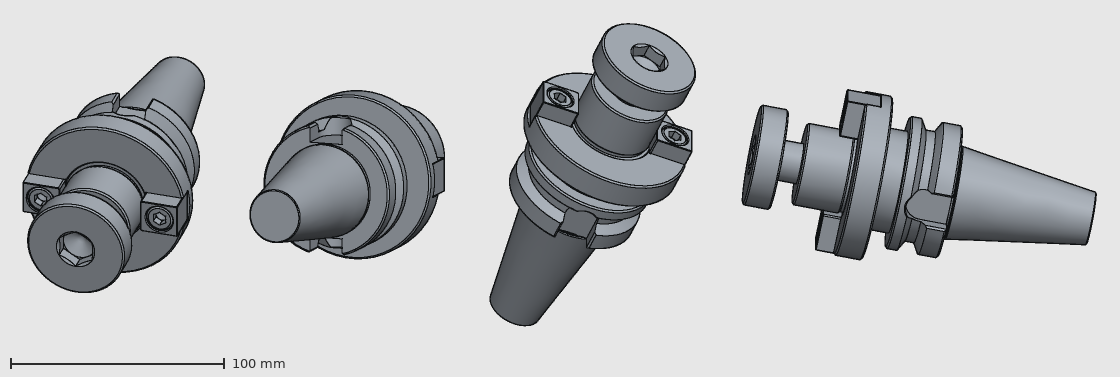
import cadquery as cq
import math


TOTAL_LENGTH = 162.0
HEAD_LENGTH = 12.8
SPIGOT_FRONT_Y = 22.8
DISC_FRONT_Y = 46.5
DISC_REAR_Y = 59.6
FLANGE_FRONT_Y = 69.6
FLANGE_REAR_Y = 94.4
TAPER_BASE_Y = 96.3

SPIGOT_RADIUS = 19.5
DISC_RADIUS = 39.0
BODY_RADIUS = 24.3
FLANGE_RADIUS = 63.0 / 2
TAPER_BASE_RADIUS = 22.2
TAPER_RATIO = 7 / 24
EDGE_CHAMFER = 0.8
TAPER_CHAMFER = 0.5

SPIGOT_RELIEF_WIDTH = 2.0
SPIGOT_RELIEF_DEPTH = 0.8
FACE_RELIEF_RADIUS = 20.7
FACE_RELIEF_DEPTH = 0.5
TAPER_RELIEF_DEPTH = 0.5

GRIP_FLOOR_RADIUS = 26.5
GRIP_FLOOR_FRONT_Y = 77.9
GRIP_FLOOR_REAR_Y = 82.3
GRIP_FLANK_ANGLE = 30.0
GRIP_EDGE_BREAK = 0.3

DRIVE_SLOT_WIDTH = 16.0
DRIVE_SLOT_FLOOR = 22.5
DRIVE_SLOT_END_Y = 73.5
DRIVE_SLOT_CHAMFER = 1.0
DRIVE_SLOT_END_CHAMFER = 0.6

KEY_WIDTH = 16.0
KEY_INNER_X = 19.8
KEY_OUTER_X = 37.9
KEY_FRONT_Y = 37.9
KEY_REAR_Y = 54.1
KEY_CHAMFER = 0.3
KEY_INNER_CHAMFER = 0.6
KEY_SIDES = (-1, 1)

CAP_CENTRE_X = 29.1
CAP_RADIUS = 6.5
CAP_HEIGHT = 8.0
CAP_CHAMFER = 1.0
CAP_SHANK_RADIUS = 4.0
CAP_SHANK_END_Y = 58.3
CAP_BORE_CHAMFER = 0.5
CAP_HEX_WIDTH = 6.0
CAP_HEX_DEPTH = 4.0
CAP_FRONT_Y = KEY_FRONT_Y + 0.3
CAP_SEAT_Y = CAP_FRONT_Y + CAP_HEIGHT

HEAD_RADIUS = 23.8
SHANK_RADIUS = 9.5
SHANK_END_Y = DISC_FRONT_Y
SHANK_RELIEF_WIDTH = 1.0
SHANK_RELIEF_DEPTH = 0.5
HEX_WIDTH = 16.0
HEX_DEPTH = 6.5
HEX_MOUTH_RADIUS = 9.4
HEX_MOUTH_DEPTH = 1.0

DRILL_POINT_ANGLE = 120.0


def revolve(profile):
    """Turn a closed (radius, y) outline about the Y axis."""
    return cq.Workplane("XY").polyline(profile).close().revolve(360, (0, 0, 0), (0, 1, 0))


def cylinder(radius, y_start, y_end, x=0.0):
    """Cylinder parallel to Y between two stations."""
    base = cq.Vector(x, y_start, 0)
    return cq.Workplane(cq.Solid.makeCylinder(radius, y_end - y_start, base, cq.Vector(0, 1, 0)))


def cone(start_radius, end_radius, y_start, y_end, x=0.0):
    """Cone parallel to Y whose radius changes between two stations."""
    base = cq.Vector(x, y_start, 0)
    height = y_end - y_start
    return cq.Workplane(cq.Solid.makeCone(start_radius, end_radius, height, base, cq.Vector(0, 1, 0)))


def box(x_range, y_range, z_range):
    """Box between the given limits."""
    sizes = [high - low for low, high in (x_range, y_range, z_range)]
    corner = (x_range[0], y_range[0], z_range[0])
    return cq.Workplane("XY").box(*sizes, centered=False).translate(corner)


def hex_socket(width, front_y, depth, x=0.0):
    """Hexagonal socket with corners toward +Z and -Z and a drill point at its end."""
    corner_diameter = width / math.cos(math.radians(30))
    end_y = front_y + depth
    prism = (
        cq.Workplane("XZ", origin=(x, front_y, 0))
        .transformed(rotate=(0, 0, 90))
        .polygon(6, corner_diameter)
        .extrude(-depth)
    )
    point_length = width / 2 / math.tan(math.radians(DRILL_POINT_ANGLE / 2))
    return prism.union(cone(width / 2, 0, end_y, end_y + point_length, x))


def arbor_blank():
    """Taper shank, flange, disc and spigot as one turned outline."""
    broken_radius = FLANGE_RADIUS - GRIP_EDGE_BREAK
    flank_length = (broken_radius - GRIP_FLOOR_RADIUS) * math.tan(math.radians(GRIP_FLANK_ANGLE))
    taper_end_radius = TAPER_BASE_RADIUS - (TOTAL_LENGTH - TAPER_BASE_Y) * TAPER_RATIO / 2
    spigot_relief_radius = SPIGOT_RADIUS - SPIGOT_RELIEF_DEPTH
    spigot_relief_y = DISC_FRONT_Y - SPIGOT_RELIEF_WIDTH
    taper_relief_radius = TAPER_BASE_RADIUS - TAPER_RELIEF_DEPTH
    return revolve([
        (0, SPIGOT_FRONT_Y),
        (SPIGOT_RADIUS - EDGE_CHAMFER, SPIGOT_FRONT_Y),
        (SPIGOT_RADIUS, SPIGOT_FRONT_Y + EDGE_CHAMFER),
        (SPIGOT_RADIUS, spigot_relief_y),
        (spigot_relief_radius, spigot_relief_y + SPIGOT_RELIEF_DEPTH),
        (spigot_relief_radius, DISC_FRONT_Y + FACE_RELIEF_DEPTH),
        (FACE_RELIEF_RADIUS - FACE_RELIEF_DEPTH, DISC_FRONT_Y + FACE_RELIEF_DEPTH),
        (FACE_RELIEF_RADIUS, DISC_FRONT_Y),
        (DISC_RADIUS - EDGE_CHAMFER, DISC_FRONT_Y),
        (DISC_RADIUS, DISC_FRONT_Y + EDGE_CHAMFER),
        (DISC_RADIUS, DISC_REAR_Y - EDGE_CHAMFER),
        (DISC_RADIUS - EDGE_CHAMFER, DISC_REAR_Y),
        (BODY_RADIUS, DISC_REAR_Y),
        (BODY_RADIUS, FLANGE_FRONT_Y),
        (FLANGE_RADIUS - EDGE_CHAMFER, FLANGE_FRONT_Y),
        (FLANGE_RADIUS, FLANGE_FRONT_Y + EDGE_CHAMFER),
        (FLANGE_RADIUS, GRIP_FLOOR_FRONT_Y - flank_length - GRIP_EDGE_BREAK),
        (broken_radius, GRIP_FLOOR_FRONT_Y - flank_length),
        (GRIP_FLOOR_RADIUS, GRIP_FLOOR_FRONT_Y),
        (GRIP_FLOOR_RADIUS, GRIP_FLOOR_REAR_Y),
        (broken_radius, GRIP_FLOOR_REAR_Y + flank_length),
        (FLANGE_RADIUS, GRIP_FLOOR_REAR_Y + flank_length + GRIP_EDGE_BREAK),
        (FLANGE_RADIUS, FLANGE_REAR_Y - EDGE_CHAMFER),
        (FLANGE_RADIUS - EDGE_CHAMFER, FLANGE_REAR_Y),
        (TAPER_BASE_RADIUS, FLANGE_REAR_Y),
        (taper_relief_radius, (FLANGE_REAR_Y + TAPER_BASE_Y) / 2),
        (taper_relief_radius, TAPER_BASE_Y - TAPER_RELIEF_DEPTH),
        (TAPER_BASE_RADIUS, TAPER_BASE_Y),
        (taper_end_radius, TOTAL_LENGTH - TAPER_CHAMFER),
        (taper_end_radius - TAPER_CHAMFER, TOTAL_LENGTH),
        (0, TOTAL_LENGTH),
    ])


def drive_slot():
    """Cutter for the +Z drive slot: round front end and bevelled long edges."""
    half_width = DRIVE_SLOT_WIDTH / 2
    round_centre_y = DRIVE_SLOT_END_Y + half_width
    height = FLANGE_RADIUS - DRIVE_SLOT_FLOOR
    slot = (
        cq.Workplane("XY", origin=(0, 0, DRIVE_SLOT_FLOOR))
        .moveTo(-half_width, FLANGE_REAR_Y)
        .lineTo(-half_width, round_centre_y)
        .threePointArc((0, DRIVE_SLOT_END_Y), (half_width, round_centre_y))
        .lineTo(half_width, FLANGE_REAR_Y)
        .close()
        .extrude(height)
    )
    bevel_outer_x = half_width + DRIVE_SLOT_CHAMFER
    bevel_top = math.sqrt(FLANGE_RADIUS**2 - bevel_outer_x**2)
    bevel_bottom = bevel_top - DRIVE_SLOT_CHAMFER
    bevel = (
        cq.Workplane("XZ", origin=(0, FLANGE_REAR_Y, 0))
        .polyline([
            (-half_width, bevel_bottom),
            (half_width, bevel_bottom),
            (bevel_outer_x, bevel_top),
            (bevel_outer_x, FLANGE_RADIUS),
            (-bevel_outer_x, FLANGE_RADIUS),
            (-bevel_outer_x, bevel_top),
        ])
        .close()
        .extrude(FLANGE_REAR_Y - GRIP_FLOOR_REAR_Y)
    )
    end_bevel = (
        cq.Workplane("XY", origin=(0, round_centre_y, FLANGE_RADIUS - DRIVE_SLOT_END_CHAMFER))
        .circle(half_width)
        .workplane(offset=DRIVE_SLOT_END_CHAMFER)
        .circle(half_width + DRIVE_SLOT_END_CHAMFER)
        .loft()
    )
    return slot.union(bevel).union(end_bevel)


def key_seat(side):
    """Cutter for the recess in the disc that takes one key, and its screw hole."""
    half_width = KEY_WIDTH / 2
    x_range = sorted((side * KEY_INNER_X, side * DISC_RADIUS))
    recess = box(x_range, (DISC_FRONT_Y, KEY_REAR_Y), (-half_width, half_width))
    hole = cylinder(CAP_SHANK_RADIUS, KEY_REAR_Y, CAP_SHANK_END_Y, side * CAP_CENTRE_X)
    return recess.union(hole)


def build_arbor():
    """Turned blank with its drive slots, key seats and screw hole."""
    arbor = arbor_blank()
    slot = drive_slot()
    arbor = arbor.cut(slot).cut(slot.mirror("XY"))
    for side in KEY_SIDES:
        arbor = arbor.cut(key_seat(side))
    return arbor.cut(cylinder(SHANK_RADIUS, SPIGOT_FRONT_Y, SHANK_END_Y))


def key_blank(side):
    """Block with bevelled long edges, wider bevels facing the spigot."""
    half_width = KEY_WIDTH / 2
    outline = [
        (KEY_INNER_X, half_width - KEY_INNER_CHAMFER),
        (KEY_INNER_X + KEY_INNER_CHAMFER, half_width),
        (KEY_OUTER_X - KEY_CHAMFER, half_width),
        (KEY_OUTER_X, half_width - KEY_CHAMFER),
    ]
    mirrored = [(x, -z) for x, z in reversed(outline)]
    block = (
        cq.Workplane("XZ", origin=(0, KEY_FRONT_Y, 0))
        .polyline(outline + mirrored)
        .close()
        .extrude(KEY_FRONT_Y - KEY_REAR_Y)
        .faces("<Y or >Y")
        .edges()
        .chamfer(KEY_CHAMFER)
    )
    return block if side > 0 else block.mirror("YZ")


def build_key(side):
    """Bevelled block with a counterbored hole for its cap screw."""
    x = side * CAP_CENTRE_X
    mouth_radius = CAP_RADIUS + CAP_BORE_CHAMFER
    key = key_blank(side).cut(cylinder(CAP_SHANK_RADIUS, KEY_FRONT_Y, KEY_REAR_Y, x))
    key = key.cut(cylinder(CAP_RADIUS, KEY_FRONT_Y, CAP_SEAT_Y, x))
    return key.cut(cone(mouth_radius, CAP_RADIUS, KEY_FRONT_Y, KEY_FRONT_Y + CAP_BORE_CHAMFER, x))


def build_cap_screw(side):
    """Socket-head screw seated in one key and threaded into the disc."""
    x = side * CAP_CENTRE_X
    head = cylinder(CAP_RADIUS, CAP_FRONT_Y, CAP_SEAT_Y, x)
    head = head.faces("<Y").edges().chamfer(CAP_CHAMFER)
    screw = head.union(cylinder(CAP_SHANK_RADIUS, CAP_SEAT_Y, CAP_SHANK_END_Y, x))
    return screw.cut(hex_socket(CAP_HEX_WIDTH, CAP_FRONT_Y, CAP_HEX_DEPTH, x))


def build_clamping_screw():
    """Large flat-headed screw with a countersunk hexagonal socket."""
    head = cylinder(HEAD_RADIUS, 0, HEAD_LENGTH).edges().chamfer(EDGE_CHAMFER)
    screw = head.union(cylinder(SHANK_RADIUS, HEAD_LENGTH, SHANK_END_Y))
    relief_end_y = HEAD_LENGTH + SHANK_RELIEF_WIDTH
    neck_radius = SHANK_RADIUS - SHANK_RELIEF_DEPTH
    sleeve = cylinder(SHANK_RADIUS, HEAD_LENGTH, relief_end_y)
    relief = sleeve.cut(cone(SHANK_RADIUS, neck_radius, HEAD_LENGTH, relief_end_y))
    screw = screw.cut(relief)
    screw = screw.cut(hex_socket(HEX_WIDTH, 0, HEX_DEPTH))
    return screw.cut(cone(HEX_MOUTH_RADIUS, HEX_WIDTH / 2, 0, HEX_MOUTH_DEPTH))


arbor = build_arbor()
keys = [build_key(side) for side in KEY_SIDES]
cap_screws = [build_cap_screw(side) for side in KEY_SIDES]
clamping_screw = build_clamping_screw()

result = cq.Compound.makeCompound([
    arbor.val(),
    *[key.val() for key in keys],
    *[screw.val() for screw in cap_screws],
    clamping_screw.val(),
])